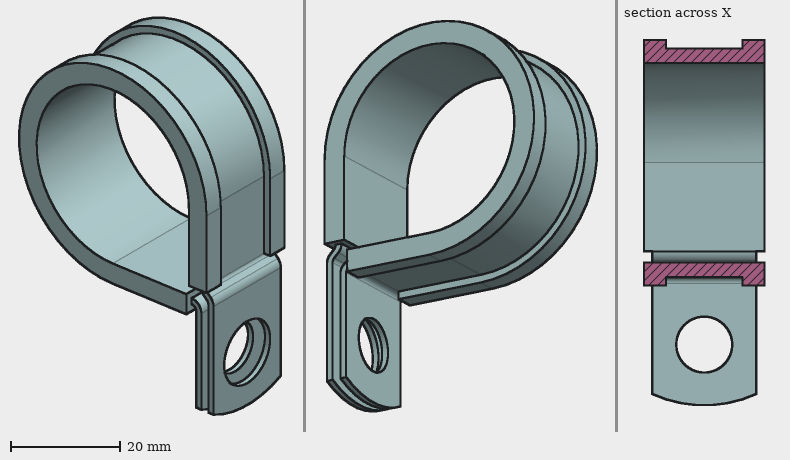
import cadquery as cq
import math

outer_radius = 22.5
inner_radius = 18.25
cushion_width = 22.1
upright_leg_length = 16.25
flat_leg_length = 17.65

groove_width = 14.0
groove_depth = 1.5
strap_radius = outer_radius - groove_depth

strap_thickness = 1.25
strap_width = 19.1
bend_inner_radius = 1.1
bend_outer_radius = bend_inner_radius + strap_thickness
jog_angle = math.radians(45)
outer_tab_face_x = 22.91
tab_bottom_z = -44.44
tab_corner_z = -42.35
flat_tab_hole_diameter = 10.2
upright_tab_hole_diameter = 13.0
bolt_hole_z = -33.3


def point_on_circle(center, radius, angle):
    return (center[0] + radius * math.cos(angle), center[1] + radius * math.sin(angle))


def extrude_along_y(profile, width):
    """Extrude an XZ profile by the given width, centred on Y = 0."""
    return profile.extrude(width / 2, both=True)


def teardrop(radius, width):
    """Three-quarter disc whose remaining quarter, toward +X and -Z, is a square corner."""
    diagonal = radius * math.sqrt(0.5)
    profile = (
        cq.Workplane("XZ")
        .moveTo(radius, 0)
        .threePointArc((-diagonal, diagonal), (0, -radius))
        .lineTo(radius, -radius)
        .close()
    )
    return extrude_along_y(profile, width)


def leg_clearance():
    """Open corner past the ends of both legs, down to the loop's inside."""
    profile = (
        cq.Workplane("XZ")
        .moveTo(0, -upright_leg_length)
        .lineTo(outer_radius, -upright_leg_length)
        .lineTo(outer_radius, -outer_radius)
        .lineTo(flat_leg_length, -outer_radius)
        .lineTo(flat_leg_length, -inner_radius)
        .lineTo(0, -inner_radius)
        .close()
    )
    return extrude_along_y(profile, cushion_width)


def make_cushion():
    rim_width = (cushion_width - groove_width) / 2
    rim_offset = (cushion_width - rim_width) / 2
    body = teardrop(strap_radius, cushion_width)
    for side in (-1, 1):
        rim = teardrop(outer_radius, rim_width).translate((0, side * rim_offset, 0))
        body = body.union(rim)
    return body.cut(teardrop(inner_radius, cushion_width)).cut(leg_clearance())


def upright_tab():
    """Tab that leaves the upright leg, slopes outward between two bends and hangs down."""
    step = outer_tab_face_x - strap_radius
    both_bends = bend_inner_radius + bend_outer_radius
    slope_step = step - both_bends * (1 - math.cos(jog_angle))
    jog_height = both_bends * math.sin(jog_angle) + slope_step / math.tan(jog_angle)
    upper = (strap_radius + bend_inner_radius, -upright_leg_length)
    lower = (outer_tab_face_x - bend_outer_radius, -upright_leg_length - jog_height)
    upper_mid = math.pi + jog_angle / 2
    upper_end = math.pi + jog_angle
    lower_mid = jog_angle / 2
    profile = (
        cq.Workplane("XZ")
        .moveTo(strap_radius, upper[1])
        .threePointArc(
            point_on_circle(upper, bend_inner_radius, upper_mid),
            point_on_circle(upper, bend_inner_radius, upper_end),
        )
        .lineTo(*point_on_circle(lower, bend_outer_radius, jog_angle))
        .threePointArc(
            point_on_circle(lower, bend_outer_radius, lower_mid),
            (outer_tab_face_x, lower[1]),
        )
        .lineTo(outer_tab_face_x, tab_bottom_z)
        .lineTo(outer_tab_face_x - strap_thickness, tab_bottom_z)
        .lineTo(outer_tab_face_x - strap_thickness, lower[1])
        .threePointArc(
            point_on_circle(lower, bend_inner_radius, lower_mid),
            point_on_circle(lower, bend_inner_radius, jog_angle),
        )
        .lineTo(*point_on_circle(upper, bend_outer_radius, upper_end))
        .threePointArc(
            point_on_circle(upper, bend_outer_radius, upper_mid),
            (strap_radius - strap_thickness, upper[1]),
        )
        .close()
    )
    return extrude_along_y(profile, strap_width)


def flat_tab():
    """Tab that leaves the flat leg and turns down through a right-angle bend."""
    center = (flat_leg_length, -strap_radius - bend_inner_radius)
    bend_mid = math.pi / 4
    profile = (
        cq.Workplane("XZ")
        .moveTo(center[0], center[1] + bend_outer_radius)
        .threePointArc(
            point_on_circle(center, bend_outer_radius, bend_mid),
            (center[0] + bend_outer_radius, center[1]),
        )
        .lineTo(center[0] + bend_outer_radius, tab_bottom_z)
        .lineTo(center[0] + bend_inner_radius, tab_bottom_z)
        .lineTo(center[0] + bend_inner_radius, center[1])
        .threePointArc(
            point_on_circle(center, bend_inner_radius, bend_mid),
            (center[0], center[1] + bend_inner_radius),
        )
        .close()
    )
    return extrude_along_y(profile, strap_width)


def tab_outline(hole_diameter):
    """Straight-sided tab shape with an arched lower end and a bolt hole."""
    half_width = strap_width / 2
    profile = (
        cq.Workplane("YZ")
        .moveTo(-half_width, 0)
        .lineTo(-half_width, tab_corner_z)
        .threePointArc((0, tab_bottom_z), (half_width, tab_corner_z))
        .lineTo(half_width, 0)
        .close()
    )
    bolt_hole = cq.Workplane("YZ").center(0, bolt_hole_z).circle(hole_diameter / 2)
    return profile.extrude(outer_tab_face_x).cut(bolt_hole.extrude(outer_tab_face_x))


result = (
    make_cushion()
    .union(flat_tab().intersect(tab_outline(flat_tab_hole_diameter)))
    .union(upright_tab().intersect(tab_outline(upright_tab_hole_diameter)))
)